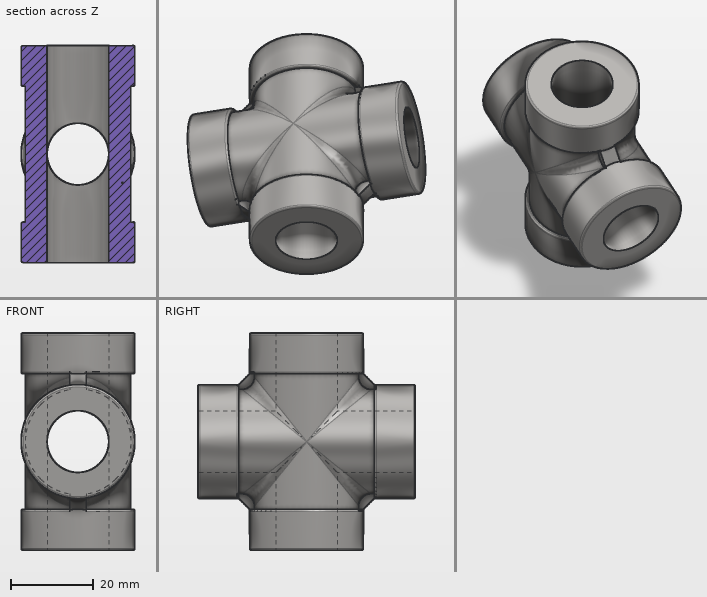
import cadquery as cq

SPAN = 53.0
COLLAR_DIAMETER = 27.8
COLLAR_LENGTH = 10.0
COLLAR_FILLET = 0.5
NECK_DIAMETER = 25.8
BORE_DIAMETER = 15.0
CROTCH_FILLET = 3.0
WEB_THICKNESS = 4.0

half_span = SPAN / 2
collar_radius = COLLAR_DIAMETER / 2
collar_inner = half_span - COLLAR_LENGTH
AXIS_PLANES = ("XY", "XZ")
SIDES = (1, -1)


def pipe(plane, diameter):
    """Cylinder over the full span, centred on the origin, normal to the plane."""
    return cq.Workplane(plane).workplane(offset=-half_span).circle(diameter / 2).extrude(SPAN)


def crossing_necks():
    """Two equal cylinders crossing at right angles, with filleted crotches."""
    upright, level = (pipe(plane, NECK_DIAMETER) for plane in AXIS_PLANES)
    return upright.union(level).edges("%ELLIPSE").fillet(CROTCH_FILLET)


def collar_blank(plane, side, length):
    """Sharp-edged disc starting at the inner collar face; side is +1 or -1."""
    return (
        cq.Workplane(plane)
        .workplane(offset=side * collar_inner)
        .circle(collar_radius)
        .extrude(side * length)
    )


def collar(plane, side):
    """Thick end ring with both circular edges rounded."""
    return collar_blank(plane, side, COLLAR_LENGTH).edges("%CIRCLE").fillet(COLLAR_FILLET)


def webs():
    """Thin plate whose 45 degree sides bridge the inner edges of neighbouring collars.

    Within the plate thickness the inner collar edges stay sharp.
    """
    plate_edge = collar_inner + COLLAR_FILLET
    corner_cut = plate_edge - (collar_radius - COLLAR_FILLET)
    slab = cq.Workplane("XY").box(WEB_THICKNESS, SPAN, SPAN)
    plate = (
        cq.Workplane("XY")
        .box(WEB_THICKNESS, 2 * plate_edge, 2 * plate_edge)
        .edges("|X")
        .chamfer(corner_cut)
    )
    for plane in AXIS_PLANES:
        for side in SIDES:
            sharp_edge = collar_blank(plane, side, COLLAR_LENGTH / 2).intersect(slab)
            plate = plate.union(sharp_edge)
    return plate


body = crossing_necks()
for axis_plane in AXIS_PLANES:
    for end in SIDES:
        body = body.union(collar(axis_plane, end))
body = body.union(webs())
for axis_plane in AXIS_PLANES:
    body = body.cut(pipe(axis_plane, BORE_DIAMETER))

result = body